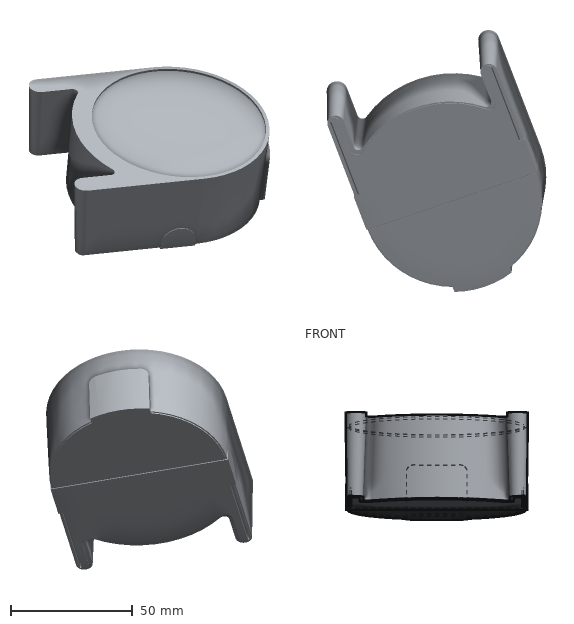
import cadquery as cq
import math

TILT = 6.0
HEIGHT = 34.95
COVER_DROP = 0.5
COVER_THICKNESS = 0.9
COVER_INSET = 0.6
COVER_LEG_INSET = 1.6
COVER_GAP = 0.4
HOUSING_BOTTOM = COVER_DROP - HEIGHT
COVER_TOP = COVER_THICKNESS - HEIGHT

TOP_RADIUS = 37.5
BOTTOM_RADIUS = 37.0
TOP_LEG_TIP = 54.67
BOTTOM_LEG_TIP = TOP_LEG_TIP - HEIGHT * math.tan(math.radians(TILT))
TOP_LEG_INNER = 28.9
BOTTOM_LEG_INNER = 30.1
TOP_FRONT_RADIUS = 44.2
BOTTOM_FRONT_RADIUS = 43.2
CORNER_RADIUS = 2.1

RECESS_RADIUS = 36.0
RECESS_DEPTH = 1.0

PAD_RADIUS = 7.5
PAD_CENTRE_Y = -COVER_GAP - PAD_RADIUS
PAD_FRONT_Y = PAD_CENTRE_Y - PAD_RADIUS
PAD_RISE = 1.4
PAD_DEPTH = 3.0
PAD_FACE_X = 37.4

SLOT_X = 35.3
SLOT_WIDTH = 0.7
SLOT_DEPTH = 4.0
SLOT_TIP_MARGIN = 2.0
SLOT_FRONT_Y = SLOT_TIP_MARGIN - BOTTOM_LEG_TIP

PANEL_WIDTH = 25.0
PANEL_RADIUS = 39.0
PANEL_THICKNESS = 1.0
PANEL_HEIGHT = 22.6
PANEL_CORNER_RADIUS = 3.0
LIP_HEIGHT = 2.0
LIP_FRONT_Y = 33.0
BOSS_FRONT_Y = 32.0


def outline(z, radius, leg_tip, leg_inner, front_radius, corner_radius):
    """Closed outline: round back, straight sides, two round-ended legs, bulged front wall."""
    tip_radius = (radius - leg_inner) / 2
    tip_x = (radius + leg_inner) / 2
    tip_y = tip_radius - leg_tip
    corner_x = leg_inner - corner_radius
    corner_reach = front_radius + corner_radius
    corner_y = -math.sqrt(corner_reach**2 - corner_x**2)
    join_x = corner_x * front_radius / corner_reach
    join_y = corner_y * front_radius / corner_reach
    half_sweep = (math.pi - math.atan2(-corner_y, corner_x)) / 2
    corner_mid_x = corner_x + corner_radius * math.cos(half_sweep)
    corner_mid_y = corner_y + corner_radius * math.sin(half_sweep)
    return (
        cq.Workplane("XY", origin=(0, 0, z))
        .moveTo(radius, 0)
        .threePointArc((0, radius), (-radius, 0))
        .lineTo(-radius, tip_y)
        .threePointArc((-tip_x, -leg_tip), (-leg_inner, tip_y))
        .lineTo(-leg_inner, corner_y)
        .threePointArc((-corner_mid_x, corner_mid_y), (-join_x, join_y))
        .threePointArc((0, -front_radius), (join_x, join_y))
        .threePointArc((corner_mid_x, corner_mid_y), (leg_inner, corner_y))
        .lineTo(leg_inner, tip_y)
        .threePointArc((tip_x, -leg_tip), (radius, tip_y))
        .close()
    )


def slab(x_size, y_min, y_max, z_min, z_max):
    """Box centred on x = 0."""
    return (
        cq.Workplane("XY", origin=(0, (y_min + y_max) / 2, z_min))
        .box(x_size, y_max - y_min, z_max - z_min, centered=(True, True, False))
    )


def back_block(radius, front_y, z_min, z_max):
    """Panel-wide block behind front_y, with a back face curved to the given radius."""
    block = slab(PANEL_WIDTH, front_y, radius, z_min, z_max)
    disc = cq.Workplane("XY", origin=(0, 0, z_min)).circle(radius).extrude(z_max - z_min)
    return block.intersect(disc)


def round_top_corners(block):
    """Round the two upper corners of a panel-wide block."""
    return block.edges("|Y and >Z").fillet(PANEL_CORNER_RADIUS)


def side_pads(z_min):
    """Half-round pads on both sides, cut off level at z_min."""
    pads = (
        cq.Workplane("YZ", origin=(-PAD_FACE_X, PAD_CENTRE_Y, COVER_TOP + PAD_RISE))
        .circle(PAD_RADIUS)
        .extrude(PAD_DEPTH)
    )
    pads = pads.union(pads.mirror("YZ"))
    return pads.intersect(slab(2 * TOP_RADIUS, PAD_FRONT_Y, 0, z_min, 0))


def leg_slots():
    """Cutter for the narrow slot in each leg."""
    slots = slab(SLOT_WIDTH, SLOT_FRONT_Y, PAD_FRONT_Y, -HEIGHT, SLOT_DEPTH - HEIGHT)
    return slots.translate((SLOT_X, 0, 0)).union(slots.translate((-SLOT_X, 0, 0)))


def make_covers_blank():
    """Plate under the whole housing, before it is parted into front and rear."""
    sketch = outline(
        -HEIGHT,
        BOTTOM_RADIUS - COVER_INSET,
        BOTTOM_LEG_TIP - COVER_INSET,
        BOTTOM_LEG_INNER + COVER_LEG_INSET,
        BOTTOM_FRONT_RADIUS - COVER_INSET,
        CORNER_RADIUS + COVER_INSET,
    )
    return sketch.extrude(COVER_THICKNESS)


def make_front_cover():
    """Cover under the legs, with a tab reaching out under each side pad."""
    front = slab(2 * TOP_RADIUS, -TOP_LEG_TIP, -COVER_GAP, -HEIGHT, COVER_TOP)
    tabs = slab(
        2 * PAD_FACE_X, PAD_FRONT_Y, -COVER_GAP, -HEIGHT, COVER_TOP
    )
    return make_covers_blank().intersect(front).union(tabs).cut(leg_slots())


def make_rear_cover():
    """Half-round rear cover with a curved panel standing up its back."""
    rear = slab(2 * TOP_RADIUS, 0, TOP_RADIUS, -HEIGHT, COVER_TOP)
    panel = round_top_corners(
        back_block(PANEL_RADIUS, LIP_FRONT_Y, -HEIGHT, PANEL_HEIGHT - HEIGHT)
    )
    inside = (
        cq.Workplane("XY", origin=(0, 0, LIP_HEIGHT - HEIGHT))
        .circle(PANEL_RADIUS - PANEL_THICKNESS)
        .extrude(HEIGHT)
    )
    return make_covers_blank().intersect(rear).union(panel.cut(inside))


def make_housing(covers):
    """Tapered housing with its recess, pads and boss, hollowed to seat the covers."""
    top = outline(
        0, TOP_RADIUS, TOP_LEG_TIP, TOP_LEG_INNER, TOP_FRONT_RADIUS, CORNER_RADIUS
    )
    bottom = outline(
        HOUSING_BOTTOM,
        BOTTOM_RADIUS,
        BOTTOM_LEG_TIP,
        BOTTOM_LEG_INNER,
        BOTTOM_FRONT_RADIUS,
        CORNER_RADIUS,
    )
    wires = [bottom.val(), top.val()]
    housing = cq.Workplane(obj=cq.Solid.makeLoft(wires, True))
    boss = round_top_corners(
        back_block(
            PANEL_RADIUS - PANEL_THICKNESS, BOSS_FRONT_Y, HOUSING_BOTTOM, PANEL_HEIGHT - HEIGHT
        )
    )
    recess = cq.Workplane("XY").circle(RECESS_RADIUS).extrude(-RECESS_DEPTH)
    housing = housing.union(boss).union(side_pads(COVER_TOP)).cut(recess).cut(leg_slots())
    for cover in covers:
        housing = housing.cut(cover)
    return housing


def tilted(body):
    """Tilt a finished body so that the legs rise."""
    return body.rotate((0, 0, 0), (1, 0, 0), -TILT)


front_cover = make_front_cover()
rear_cover = make_rear_cover()
housing = make_housing([front_cover, rear_cover])

result = cq.Compound.makeCompound(
    [tilted(housing).val(), tilted(front_cover).val(), tilted(rear_cover).val()]
)